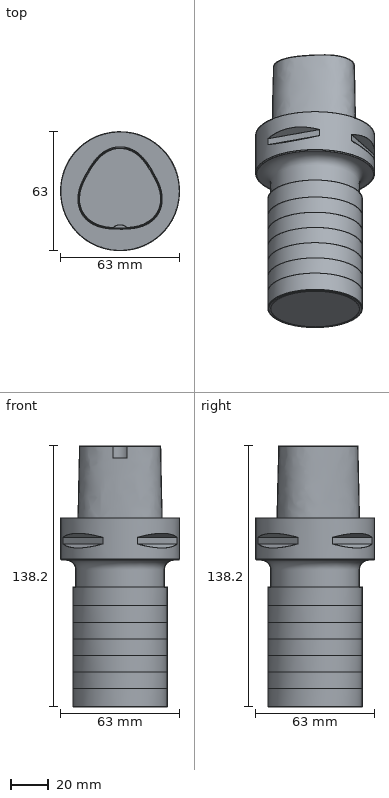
import cadquery as cq
import math

total_height = 138.2
shank_length = 38.0
flange_bottom = 77.8
neck_bottom = 63.6
flange_top = total_height - shank_length

flange_diameter = 63.0
neck_diameter = 47.0
ring_diameter = 50.0
neck_fillet = 5.0
flange_chamfer = 0.5

base_mean_radius = 21.8
top_mean_radius = 21.0
lobe_height = 1.7
outline_points = 48

notch_depth = 6.4
notch_radius = 5.4
notch_inset = 1.5

slot_count = 4
slot_start_angle = 45.0
slot_center_z = 88.2
slot_floor_distance = 27.8
slot_floor_height = 3.5
slot_flank_angle = 30.0
slot_margin = 1.4

ring_count = 7
end_ring_height = 9.8
ring_chamfer = 0.4
middle_ring_height = (neck_bottom - 2 * end_ring_height) / (ring_count - 2)


def lobed_outline(mean_radius):
    """Points of a three-lobed closed curve with one lobe towards +Y."""
    points = []
    for i in range(outline_points):
        angle = 2 * math.pi * i / outline_points
        radius = mean_radius + lobe_height * math.cos(3 * angle)
        points.append((-radius * math.sin(angle), radius * math.cos(angle)))
    return points


def make_shank():
    shank = (
        cq.Workplane("XY", origin=(0, 0, flange_top))
        .spline(lobed_outline(base_mean_radius), periodic=True)
        .close()
        .workplane(offset=shank_length)
        .spline(lobed_outline(top_mean_radius), periodic=True)
        .close()
        .loft(ruled=True)
    )
    flat_side_y = lobe_height - top_mean_radius
    notch_center_y = flat_side_y + notch_inset - notch_radius
    notch = (
        cq.Workplane("XY", origin=(0, notch_center_y, total_height - notch_depth))
        .circle(notch_radius)
        .extrude(notch_depth)
    )
    return shank.cut(notch)


def make_turned_body():
    """Flange, filleted neck and the core that carries the rings."""
    flange_radius = flange_diameter / 2
    neck_radius = neck_diameter / 2
    arc_offset = neck_fillet * (1 - math.sqrt(0.5))
    return (
        cq.Workplane("XZ")
        .moveTo(0, 0)
        .lineTo(neck_radius, 0)
        .lineTo(neck_radius, flange_bottom - neck_fillet)
        .threePointArc(
            (neck_radius + arc_offset, flange_bottom - arc_offset),
            (neck_radius + neck_fillet, flange_bottom),
        )
        .lineTo(flange_radius - flange_chamfer, flange_bottom)
        .lineTo(flange_radius, flange_bottom + flange_chamfer)
        .lineTo(flange_radius, flange_top)
        .lineTo(0, flange_top)
        .close()
        .revolve(360, (0, 0, 0), (0, 1, 0))
    )


def make_slot_cutter(angle):
    """Straight flat-floored slot with flaring flanks, turned about Z."""
    outer_distance = flange_diameter / 2 + slot_margin
    flare = (outer_distance - slot_floor_distance) * math.tan(math.radians(slot_flank_angle))
    floor_half = slot_floor_height / 2
    mouth_half = floor_half + flare
    return (
        cq.Workplane("XZ", origin=(0, 0, slot_center_z))
        .polyline([
            (slot_floor_distance, -floor_half),
            (outer_distance, -mouth_half),
            (outer_distance, mouth_half),
            (slot_floor_distance, floor_half),
        ])
        .close()
        .extrude(flange_diameter / 2, both=True)
        .rotate((0, 0, 0), (0, 0, 1), angle)
    )


def make_holder():
    holder = make_turned_body().union(make_shank())
    for i in range(slot_count):
        holder = holder.cut(make_slot_cutter(slot_start_angle + 360 * i / slot_count))
    return holder


def make_ring(bottom, height):
    return (
        cq.Workplane("XY", origin=(0, 0, bottom))
        .circle(ring_diameter / 2)
        .circle(neck_diameter / 2)
        .extrude(height)
    )


def make_cutting_rings():
    """Stacked rings, the lowest one chamfered at its outer bottom edge."""
    rings = []
    bottom = 0.0
    for i in range(ring_count):
        is_end_ring = i in (0, ring_count - 1)
        height = end_ring_height if is_end_ring else middle_ring_height
        ring = make_ring(bottom, height)
        if i == 0:
            ring = ring.faces("<Z").edges(cq.selectors.RadiusNthSelector(-1)).chamfer(ring_chamfer)
        rings.append(ring)
        bottom += height
    return rings


holder = make_holder()
cutting_rings = make_cutting_rings()
result = cq.Compound.makeCompound([holder.val(), *[ring.val() for ring in cutting_rings]])